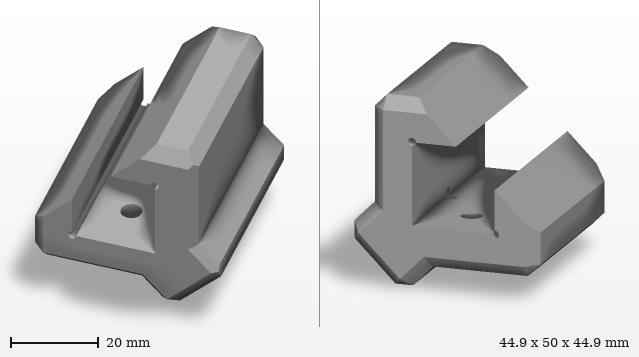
import cadquery as cq
import math

length = 50
slot = 20
wall = 10
mouth_offset = 30.6
foot_width = 20
foot_reach = slot / math.sqrt(2)
bevel = 3
small_bevel = 2
relief_diameter = 2
bolt_diameter = 5
bolt_end_distance = 12.5
foot_hole_diameter = 3.15

body_size = slot + 2 * wall
body_start = -slot - wall


def bevel_edges(block, back_edges, front_edges, long_edges):
    """Bevel the named edges together, then the front +X edge by the smaller amount."""
    beveled = (
        block.faces(">Y").edges(back_edges)
        .add(block.faces("<Y").edges(front_edges))
        .add(block.edges(long_edges))
        .chamfer(bevel)
    )
    return beveled.faces("<Y").edges(">X").chamfer(small_bevel)


def make_body():
    """Square bar around the slot; its beveled lower +X corner stays inside the foot."""
    block = cq.Workplane("XY").box(body_size, length, body_size, centered=False)
    block = block.translate((body_start, 0, -wall))
    long_edges = "|Y and (<Z or (>X and >Z))"
    return bevel_edges(block, "|X or |Z", "<X or <Z or >Z", long_edges)


def make_foot():
    """Block shaped pointing down, then turned to point along +X and -Z."""
    block = cq.Workplane("XY").box(foot_width, length, foot_reach)
    block = block.translate((0, length / 2, -foot_reach / 2))
    foot = bevel_edges(block, "<X or >X or <Z", "<X or <Z", "|Y and <Z")
    return foot.rotate((0, 0, 0), (0, 1, 0), -45)


def bar_along_y(outline):
    return cq.Workplane("XZ").polyline(outline).close().extrude(-length)


def make_slot():
    """Square slot with a round relief groove in its two undercut corners."""
    cutter = bar_along_y([(0, 0), (-slot, 0), (-slot, slot), (0, slot)])
    grooves = (
        cq.Workplane("XZ").pushPoints([(-slot, 0), (0, slot)])
        .circle(relief_diameter / 2).extrude(-length)
    )
    return cutter.union(grooves)


def make_mouth():
    """Triangular bar beyond the slanted opening plane."""
    body_top = slot + wall
    return bar_along_y([
        (body_start, body_start + mouth_offset),
        (body_start, body_top),
        (body_top - mouth_offset, body_top),
    ])


def make_bolt_holes():
    """Vertical holes through the middle of the slot floor."""
    positions = [(-slot / 2, y) for y in (bolt_end_distance, length - bolt_end_distance)]
    return (
        cq.Workplane("XY").workplane(offset=-wall).pushPoints(positions)
        .circle(bolt_diameter / 2).extrude(2 * wall)
    )


def make_foot_hole():
    """Diagonal hole from the slot corner out through the foot."""
    hole = (
        cq.Workplane("XY").workplane(offset=-foot_reach).center(0, length / 2)
        .circle(foot_hole_diameter / 2).extrude(foot_reach + foot_hole_diameter)
    )
    return hole.rotate((0, 0, 0), (0, 1, 0), -45)


result = make_body().cut(make_mouth()).cut(make_slot()).union(make_foot())
result = result.cut(make_bolt_holes()).cut(make_foot_hole())